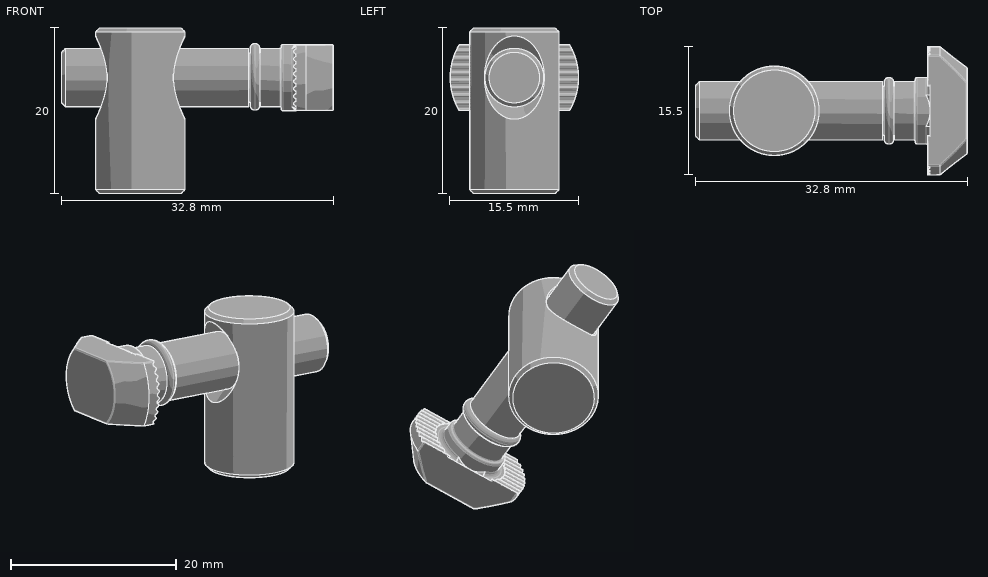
import cadquery as cq
import math


BARREL_RADIUS = 5.4
BARREL_HEIGHT = 20.0
BARREL_TOP = 6.0
BARREL_X = 9.5
BARREL_CHAMFER = 0.5
FLARE_TIP_OFFSET = 0.4

BOLT_LENGTH = 32.8
SHANK_RADIUS = 3.55
SHANK_CHAMFER = 0.5

RING_X = 23.35
RING_SECTION_RADIUS = 0.6
RING_OUTER_RADIUS = 4.05
RING_LIFT = 0.1
GROOVE_START = 22.6
GROOVE_END = 23.98
GROOVE_RADIUS = 3.0

COLLAR_X = 26.5
COLLAR_RADIUS = 8.05 / 2
COLLAR_INNER_FILLET = 0.13
COLLAR_OUTER_FILLET = 0.25
COLLAR_ROOT_FILLET = 0.5
RUN_OUT_HALF_WIDTH = 1.9

HEAD_X = 28.0
HEAD_RADIUS = 15.5 / 2
HEAD_HALF_HEIGHT = 7.97 / 2
TAPER_X = 29.52
END_RADIUS = 5.18
HEAD_EDGE_FILLET = 0.15
RECESS_RADIUS = 5.0

TOOTH_PITCH = 0.9
TOOTH_ARC_WIDTH = 0.3
TOOTH_DEPTH = 0.3
VALLEYS_PER_SIDE = 4

FACE_FLOOR_X = HEAD_X + TOOTH_DEPTH


def revolve_about_x(profile):
    """Turn a closed profile, drawn as X and radius, about the bolt axis."""
    return profile.close().revolve(360, (0, 0, 0), (1, 0, 0))


def cylinder_along_x(start, end, radius):
    return cq.Workplane("YZ").workplane(offset=start).circle(radius).extrude(end - start)


def flare_cone(direction):
    """45 degree cone that opens from the barrel axis toward +X or -X."""
    reach = BARREL_RADIUS + FLARE_TIP_OFFSET
    tip = BARREL_X + direction * FLARE_TIP_OFFSET
    mouth = BARREL_X + direction * reach
    profile = cq.Workplane("XY").moveTo(tip, 0).lineTo(mouth, 0).lineTo(mouth, reach - FLARE_TIP_OFFSET)
    return revolve_about_x(profile)


def make_barrel():
    barrel = (
        cq.Workplane("XY", origin=(BARREL_X, 0, BARREL_TOP - BARREL_HEIGHT))
        .circle(BARREL_RADIUS)
        .extrude(BARREL_HEIGHT)
        .faces("<Z or >Z")
        .chamfer(BARREL_CHAMFER)
    )
    barrel = barrel.cut(cylinder_along_x(0, BOLT_LENGTH, SHANK_RADIUS))
    for direction in (-1, 1):
        barrel = barrel.cut(flare_cone(direction))
    return barrel


def make_shank_and_collar():
    """Turned part of the bolt: chamfered shank, ring groove and filleted collar."""
    arc_middle = math.sqrt(0.5)
    inner = COLLAR_INNER_FILLET
    outer = COLLAR_OUTER_FILLET
    profile = (
        cq.Workplane("XY")
        .moveTo(0, 0)
        .lineTo(0, SHANK_RADIUS - SHANK_CHAMFER)
        .lineTo(SHANK_CHAMFER, SHANK_RADIUS)
        .lineTo(GROOVE_START, SHANK_RADIUS)
        .lineTo(GROOVE_START, GROOVE_RADIUS)
        .lineTo(GROOVE_END, GROOVE_RADIUS)
        .lineTo(GROOVE_END, SHANK_RADIUS)
        .lineTo(COLLAR_X - inner, SHANK_RADIUS)
        .threePointArc(
            (COLLAR_X - inner * (1 - arc_middle), SHANK_RADIUS + inner * (1 - arc_middle)),
            (COLLAR_X, SHANK_RADIUS + inner),
        )
        .lineTo(COLLAR_X, COLLAR_RADIUS - outer)
        .threePointArc(
            (COLLAR_X + outer * (1 - arc_middle), COLLAR_RADIUS - outer * (1 - arc_middle)),
            (COLLAR_X + outer, COLLAR_RADIUS),
        )
        .lineTo(FACE_FLOOR_X, COLLAR_RADIUS)
        .lineTo(FACE_FLOOR_X, 0)
    )
    return revolve_about_x(profile)


def make_space_between_flats():
    return cq.Workplane("XY").box(2 * BOLT_LENGTH, 2 * HEAD_RADIUS, 2 * HEAD_HALF_HEIGHT)


def make_head_blank():
    """Disc with a tapered end, cut to two flats and rounded along its outer edges."""
    profile = (
        cq.Workplane("XY")
        .moveTo(HEAD_X, 0)
        .lineTo(HEAD_X, HEAD_RADIUS)
        .lineTo(TAPER_X, HEAD_RADIUS)
        .lineTo(BOLT_LENGTH, END_RADIUS)
        .lineTo(BOLT_LENGTH, 0)
    )
    blank = revolve_about_x(profile).intersect(make_space_between_flats())
    return blank.faces(">X or <Z or >Z").edges("not <X").fillet(HEAD_EDGE_FILLET)


def make_serration_cutter():
    """Space in front of the serrations: rounded crests and valleys joined by straight flanks."""
    arc_half = TOOTH_ARC_WIDTH / 2
    flank_rise = TOOTH_PITCH / 2 - TOOTH_ARC_WIDTH
    arc_height = (TOOTH_DEPTH - flank_rise) / 2
    crest_side_x = HEAD_X + arc_height
    valley_side_x = FACE_FLOOR_X - arc_height
    outer_z = (VALLEYS_PER_SIDE + 0.5) * TOOTH_PITCH

    wave = cq.Workplane("XZ").moveTo(crest_side_x, -outer_z - arc_half)
    for index in range(-VALLEYS_PER_SIDE, VALLEYS_PER_SIDE + 1):
        valley_z = index * TOOTH_PITCH
        crest_z = valley_z - TOOTH_PITCH / 2
        wave = (
            wave.threePointArc((HEAD_X, crest_z), (crest_side_x, crest_z + arc_half))
            .lineTo(valley_side_x, valley_z - arc_half)
            .threePointArc((FACE_FLOOR_X, valley_z), (valley_side_x, valley_z + arc_half))
            .lineTo(crest_side_x, valley_z + TOOTH_PITCH / 2 - arc_half)
        )
    return (
        wave.threePointArc((HEAD_X, outer_z), (crest_side_x, outer_z + arc_half))
        .lineTo(HEAD_X - TOOTH_DEPTH, outer_z + arc_half)
        .lineTo(HEAD_X - TOOTH_DEPTH, -outer_z - arc_half)
        .close()
        .extrude(HEAD_RADIUS, both=True)
    )


def make_root_fillet():
    """Concave fillet from collar to recess floor, replaced by a sloped facet along each flat."""
    start = FACE_FLOOR_X - COLLAR_ROOT_FILLET
    edge = COLLAR_RADIUS + COLLAR_ROOT_FILLET
    bulge = COLLAR_ROOT_FILLET * math.sqrt(0.5)
    fillet = revolve_about_x(
        cq.Workplane("XY")
        .moveTo(start, 0)
        .lineTo(start, COLLAR_RADIUS)
        .threePointArc((start + bulge, edge - bulge), (FACE_FLOOR_X, edge))
        .lineTo(FACE_FLOOR_X, 0)
    )
    facet_start_z = math.sqrt(COLLAR_RADIUS**2 - RUN_OUT_HALF_WIDTH**2)
    facets = (
        cq.Workplane("XZ")
        .moveTo(start, -facet_start_z)
        .lineTo(start, facet_start_z)
        .lineTo(FACE_FLOOR_X, COLLAR_RADIUS)
        .lineTo(FACE_FLOOR_X, -COLLAR_RADIUS)
        .close()
        .extrude(RUN_OUT_HALF_WIDTH, both=True)
    )
    run_out_zone = cq.Workplane("XY").box(2 * BOLT_LENGTH, 2 * RUN_OUT_HALF_WIDTH, 2 * HEAD_RADIUS)
    return fillet.intersect(make_space_between_flats()).cut(run_out_zone).union(facets)


def make_bolt():
    head = make_head_blank().cut(cylinder_along_x(HEAD_X, FACE_FLOOR_X, RECESS_RADIUS))
    head = head.cut(make_serration_cutter())
    return head.union(make_shank_and_collar()).union(make_root_fillet())


def make_ring():
    """Round-section ring, seated a little off centre against the floor of its groove."""
    section_centre_radius = RING_OUTER_RADIUS - RING_SECTION_RADIUS
    torus = cq.Solid.makeTorus(
        section_centre_radius,
        RING_SECTION_RADIUS,
        cq.Vector(RING_X, 0, RING_LIFT),
        cq.Vector(1, 0, 0),
    )
    return cq.Workplane("XY").add(torus).cut(cylinder_along_x(GROOVE_START, GROOVE_END, GROOVE_RADIUS))


barrel = make_barrel()
bolt = make_bolt()
ring = make_ring()

result = cq.Compound.makeCompound([barrel.val(), bolt.val(), ring.val()])